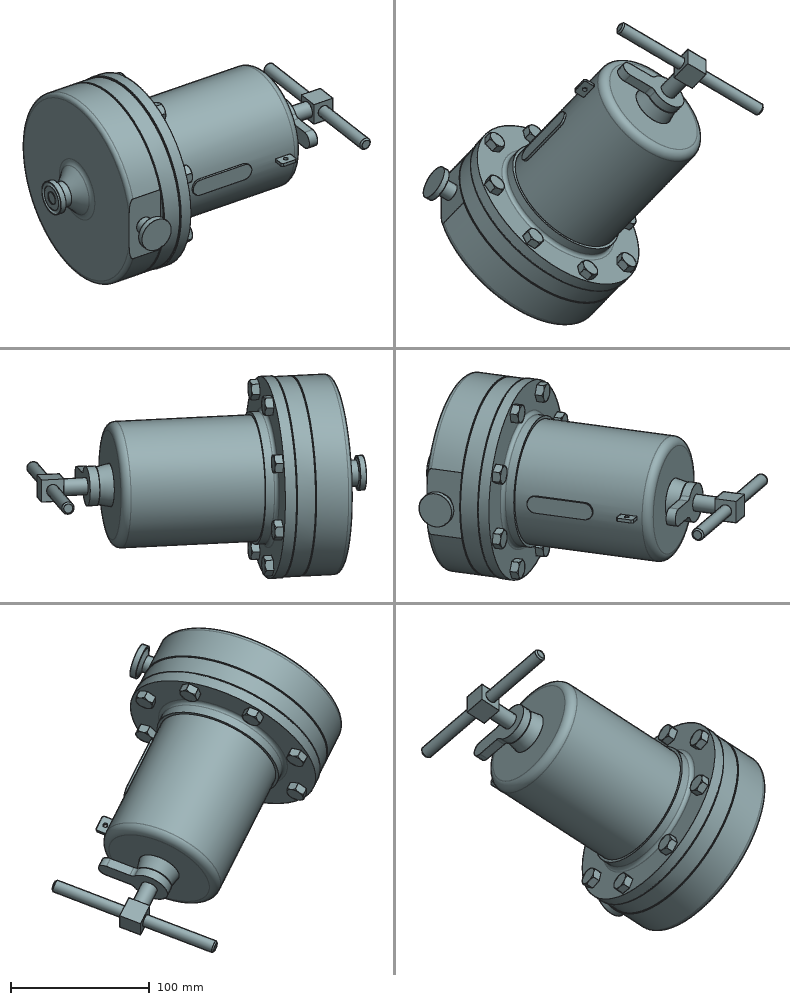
import cadquery as cq
import math

total_length = 238.1
total_width = 157.2

port_flange_radius = 12.6
port_flange_thickness = 4.3
port_bevel_length = 0.7
port_bevel_radius = 11.2
port_neck_radius = 9.5
port_neck_end = 11.2
flare_radius = 6.5
flare_angle = 45.0
seal_groove_center_radius = 10.7
seal_groove_section_radius = 1.5
bore_radius = 4.8
bore_depth = 0.7

body_bottom = 22.1
body_radius = 72.5
body_edge_radius = 3.3
ring_bottom = 49.0
flange_bottom = 63.0
flange_top = 72.2
flange_diameter = 146.0
flange_radius = flange_diameter / 2
joint_groove_width = 0.7
joint_groove_depth = 0.5
side_flat_x = 67.9

side_port_y = 35.0
side_tube_radius = 6.5
side_tube_root_x = 47.6
side_bevel_start_x = 77.5
side_flange_start_x = 79.8
side_bevel_radius = 11.0
side_port_end_x = total_width - flange_radius

bonnet_radius = 45.7
bonnet_top = 186.2
bonnet_edge_radius = 6.2
collar_radius = 47.9
collar_top = 81.5
collar_fillet = 2.9

neck_base_radius = 15.7
neck_top_radius = 13.5
nut_radius = 14.3
nut_bottom = 196.5
nut_top = 203.5
lever_half_width = 6.5
lever_tip_x = 40.2
lever_root_fillet = 4.8

stem_radius = 6.2
block_size = 16.5
bar_length = 127.2
bar_radius = 4.5
bar_chamfer = 1.2

bolt_count = 8
bolt_circle_radius = 64.3
bolt_corner_radius = 7.5
bolt_head_height = 6.2
bolt_chamfer = 1.0
bolt_corner_turn = 7.5

attachment_depth = 2.5
attachment_root_x = bonnet_radius - attachment_depth
lug_tip_x = 54.5
lug_center_y = 169.8
lug_height = 12.9
lug_thickness = 2.5
lug_corner = 1.2
lug_hole_x = 49.5
lug_hole_radius = 1.7
plate_center_y = 116.7
plate_length = 50.7
plate_width = 12.6
plate_outer_x = 47.1


def cylinder_along_y(radius, y_start, y_end):
    """Cylinder on the main axis between two heights."""
    return cq.Workplane("XZ", origin=(0, y_start, 0)).circle(radius).extrude(y_start - y_end)


def ring_along_y(outer_radius, inner_radius, y_start, y_end):
    """Ring on the main axis between two heights."""
    outer = cylinder_along_y(outer_radius, y_start, y_end)
    return outer.cut(cylinder_along_y(inner_radius, y_start, y_end))


def make_body():
    """Inlet port, flared neck, lower housing, spacer ring and flange turned about Y."""
    bevel_end = port_flange_thickness + port_bevel_length
    full_turn = math.radians(flare_angle)
    half_turn = full_turn / 2
    flare_start_y = body_bottom - flare_radius * (1 - math.cos(full_turn))
    flare_start_r = port_neck_radius + (flare_start_y - port_neck_end) * math.tan(full_turn)
    flare_end_r = flare_start_r + flare_radius * math.sin(full_turn)
    flare_mid = (
        flare_end_r - flare_radius * math.sin(half_turn),
        body_bottom - flare_radius * (1 - math.cos(half_turn)),
    )
    turned = (
        cq.Workplane("XY")
        .lineTo(port_flange_radius, 0)
        .lineTo(port_flange_radius, port_flange_thickness)
        .lineTo(port_bevel_radius, port_flange_thickness)
        .lineTo(port_neck_radius, bevel_end)
        .lineTo(port_neck_radius, port_neck_end)
        .lineTo(flare_start_r, flare_start_y)
        .threePointArc(flare_mid, (flare_end_r, body_bottom))
        .lineTo(0, body_bottom)
        .close()
        .revolve(360, (0, 0, 0), (0, 1, 0))
    )
    housing = cylinder_along_y(body_radius, body_bottom, ring_bottom)
    housing = housing.faces("<Y").edges().fillet(body_edge_radius)
    flat_depth = body_radius - side_flat_x
    flat_cutter = cq.Workplane("XY").box(
        flat_depth, ring_bottom - body_bottom, 2 * body_radius, centered=(False, False, True)
    )
    housing = housing.cut(flat_cutter.translate((side_flat_x, body_bottom, 0)))

    ring = cylinder_along_y(body_radius, ring_bottom, flange_bottom)
    flange = cylinder_along_y(flange_radius, flange_bottom, flange_top)
    body = turned.union(housing).union(ring).union(flange)

    groove_floor = body_radius - joint_groove_depth
    for joint_y in (ring_bottom, flange_bottom):
        joint_groove = ring_along_y(flange_radius, groove_floor, joint_y, joint_y + joint_groove_width)
        body = body.cut(joint_groove)

    seal_groove = (
        cq.Workplane("XY")
        .center(seal_groove_center_radius, 0)
        .circle(seal_groove_section_radius)
        .revolve(360, (-seal_groove_center_radius, 0, 0), (-seal_groove_center_radius, 1, 0))
    )
    return body.cut(seal_groove).cut(cylinder_along_y(bore_radius, 0, bore_depth))


def make_side_port():
    """Tube with a bevelled end flange turned about an axis along X."""
    return (
        cq.Workplane("XY", origin=(0, side_port_y, 0))
        .moveTo(side_tube_root_x, 0)
        .lineTo(side_tube_root_x, side_tube_radius)
        .lineTo(side_bevel_start_x, side_tube_radius)
        .lineTo(side_flange_start_x, side_bevel_radius)
        .lineTo(side_flange_start_x, port_flange_radius)
        .lineTo(side_port_end_x, port_flange_radius)
        .lineTo(side_port_end_x, 0)
        .close()
        .revolve(360, (0, 0, 0), (1, 0, 0))
    )


def make_bonnet():
    """Spring bonnet with a filleted collar at its foot and a tapered neck on top."""
    fillet_end_y = flange_top + collar_fillet
    fillet_end_r = collar_radius + collar_fillet
    quarter_arc_sag = 1 - math.sqrt(0.5)
    fillet_sag = collar_fillet * quarter_arc_sag
    shoulder_sag = bonnet_edge_radius * quarter_arc_sag
    return (
        cq.Workplane("XY")
        .moveTo(0, flange_top)
        .lineTo(fillet_end_r, flange_top)
        .threePointArc(
            (collar_radius + fillet_sag, flange_top + fillet_sag),
            (collar_radius, fillet_end_y),
        )
        .lineTo(collar_radius, collar_top)
        .lineTo(bonnet_radius, collar_top)
        .lineTo(bonnet_radius, bonnet_top - bonnet_edge_radius)
        .threePointArc(
            (bonnet_radius - shoulder_sag, bonnet_top - shoulder_sag),
            (bonnet_radius - bonnet_edge_radius, bonnet_top),
        )
        .lineTo(neck_base_radius, bonnet_top)
        .lineTo(neck_top_radius, nut_bottom)
        .lineTo(0, nut_bottom)
        .close()
        .revolve(360, (0, 0, 0), (0, 1, 0))
    )


def make_lock_nut():
    """Round nut with a round-ended lever toward +X, blended into the nut."""
    thickness = nut_top - nut_bottom
    tip_center_x = lever_tip_x - lever_half_width
    sketch_plane = cq.Workplane("XZ", origin=(0, nut_top, 0))
    arm = (
        sketch_plane.moveTo(0, -lever_half_width)
        .lineTo(tip_center_x, -lever_half_width)
        .threePointArc((lever_tip_x, 0), (tip_center_x, lever_half_width))
        .lineTo(0, lever_half_width)
        .close()
        .extrude(thickness)
    )
    nut = cylinder_along_y(nut_radius, nut_bottom, nut_top).union(arm)
    root_x = math.sqrt(nut_radius**2 - lever_half_width**2)
    mid_y = (nut_bottom + nut_top) / 2
    for side in (-1, 1):
        root_corner = cq.selectors.NearestToPointSelector((root_x, mid_y, side * lever_half_width))
        nut = nut.edges("|Y").edges(root_corner).fillet(lever_root_fillet)
    return nut


def make_handle():
    """Stem, square block and cross bar."""
    block_center_y = total_length - block_size / 2
    stem = cylinder_along_y(stem_radius, nut_bottom, block_center_y)
    block = cq.Workplane("XY", origin=(0, block_center_y, 0)).box(block_size, block_size, block_size)
    bar = (
        cq.Workplane("YZ", origin=(0, block_center_y, 0))
        .circle(bar_radius)
        .extrude(bar_length / 2, both=True)
        .faces("<X or >X")
        .edges()
        .chamfer(bar_chamfer)
    )
    return stem.union(block).union(bar)


def make_bolt_head():
    """Hexagon head with bevelled corners, standing on the flange at angle zero."""
    hexagon = (
        cq.Workplane("XZ", origin=(0, flange_top, 0))
        .polygon(6, 2 * bolt_corner_radius)
        .extrude(-bolt_head_height)
    )
    bevelled_cylinder = (
        cylinder_along_y(bolt_corner_radius, flange_top, flange_top + bolt_head_height)
        .faces(">Y")
        .edges()
        .chamfer(bolt_chamfer)
    )
    head = hexagon.intersect(bevelled_cylinder)
    head = head.rotate((0, 0, 0), (0, 1, 0), -bolt_corner_turn)
    return head.translate((bolt_circle_radius, 0, 0))


def make_lug():
    """Flat drilled lug reaching out of the bonnet wall."""
    lug = (
        cq.Workplane("XY", origin=(attachment_root_x, lug_center_y, 0))
        .box(lug_tip_x - attachment_root_x, lug_height, lug_thickness, centered=(False, True, True))
        .edges("|Z and >X")
        .chamfer(lug_corner)
    )
    hole = cq.Workplane("XY").center(lug_hole_x, lug_center_y).circle(lug_hole_radius)
    return lug.cut(hole.extrude(lug_thickness, both=True))


def make_name_plate():
    """Flat round-ended plate set into the bonnet wall."""
    return (
        cq.Workplane("YZ", origin=(attachment_root_x, plate_center_y, 0))
        .slot2D(plate_length, plate_width)
        .extrude(plate_outer_x - attachment_root_x)
    )


result = make_body()
for feature in (
    make_side_port(),
    make_bonnet(),
    make_lock_nut(),
    make_handle(),
    make_lug(),
    make_name_plate(),
):
    result = result.union(feature)

bolt_head = make_bolt_head()
bolt_pitch = 360 / bolt_count
for index in range(bolt_count):
    bolt_angle = (index + 0.5) * bolt_pitch
    result = result.union(bolt_head.rotate((0, 0, 0), (0, 1, 0), bolt_angle))